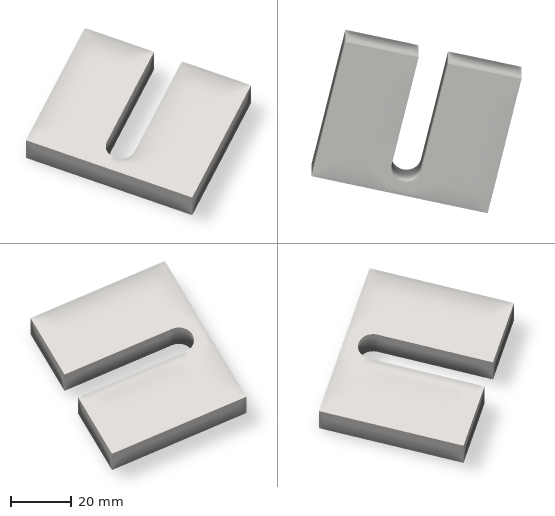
import cadquery as cq

length_x = 60.0
depth_y = 50.0
thickness = 10.0

slot_width = 10.0
front_wall = 5.0

slot_radius = slot_width / 2
slot_end_y = -depth_y / 2 + front_wall
slot_center_y = slot_end_y + slot_radius
back_y = depth_y / 2


def make_plate():
    """Rectangular plate centred on the origin in X and Y, resting on Z = 0."""
    return cq.Workplane("XY").box(length_x, depth_y, thickness, centered=(True, True, False))


def make_slot():
    """U-shaped cutter running through the full thickness."""
    return (
        cq.Workplane("XY")
        .moveTo(-slot_radius, back_y)
        .lineTo(-slot_radius, slot_center_y)
        .threePointArc((0, slot_end_y), (slot_radius, slot_center_y))
        .lineTo(slot_radius, back_y)
        .close()
        .extrude(thickness)
    )


result = make_plate().cut(make_slot())